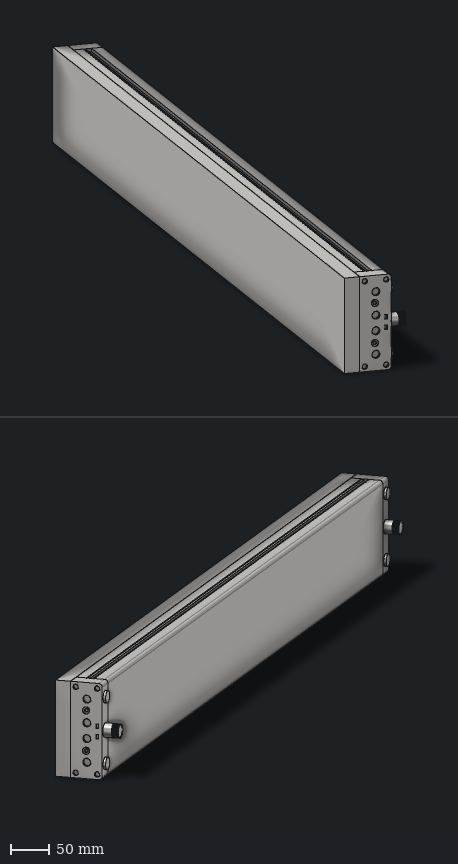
import cadquery as cq

length = 1180.0
height = 130.0
panel_depth = 21.0
back_y = 65.0
total_depth = 86.0
cap_length = 24.0
rear_fillet = 5.0

groove_back_y = back_y - 19.0
groove_width = 11.0
groove_depth = 5.0
ledge_width = 4.0
ledge_drop = 1.0

connector_diameter = 19.0
connector_neck = 12.0
thread_pitch = 2.0
thread_groove_width = 1.0
thread_depth = 1.0
thread_grooves = 4

head_diameter = 17.0
head_height = 4.0
head_z = 45.0

face_depth = 4.0
corner_hole_diameter = 7.0
corner_hole_inset = 7.0
socket_diameter = 11.0
socket_y = back_y - 21.0
socket_inner_z = 11.0
socket_outer_z = 42.0
screw_hole_diameter = 5.0
recess_diameter = 10.0
recess_depth = 1.0
screw_hole_y = socket_y - 1.0
screw_hole_z = 27.0
window_width = 4.0
window_height = 6.0
window_y = back_y - 7.0
window_z = 7.0


def box(x_min, x_max, y_min, y_max, z_min, z_max):
    """Box between the given limits."""
    size = (x_max - x_min, y_max - y_min, z_max - z_min)
    return cq.Workplane("XY").box(*size, centered=False).translate((x_min, y_min, z_min))


def bar(x_min, x_max):
    """Length of the bar behind the panel, with rounded rear edges."""
    block = box(x_min, x_max, panel_depth, back_y, -height / 2, height / 2)
    return block.edges(">Y and |X").fillet(rear_fillet)


def rear_cylinder(x, y, z, diameter, cylinder_length):
    """Cylinder that starts at y and runs toward +Y."""
    solid = cq.Solid.makeCylinder(diameter / 2, cylinder_length, cq.Vector(x, y, z), cq.Vector(0, 1, 0))
    return cq.Workplane(obj=solid)


def make_panel():
    return box(-length / 2, length / 2, 0, panel_depth, -height / 2, height / 2)


def make_profile():
    half_length = length / 2 - cap_length
    top = height / 2
    groove_front_y = groove_back_y - groove_width
    ledge_back_y = groove_front_y + ledge_width
    groove = box(-half_length, half_length, ledge_back_y, groove_back_y, top - groove_depth, top)
    ledge = box(-half_length, half_length, groove_front_y, ledge_back_y, top - ledge_drop, top)
    return bar(-half_length, half_length).cut(groove).cut(ledge)


def make_connector(x):
    """Round connector with ring grooves for its thread."""
    connector = rear_cylinder(x, back_y, 0, connector_diameter, total_depth - back_y)
    core_diameter = connector_diameter - 2 * thread_depth
    for i in range(thread_grooves):
        y = back_y + connector_neck + i * thread_pitch
        ring = rear_cylinder(x, y, 0, connector_diameter, thread_groove_width)
        core = rear_cylinder(x, y, 0, core_diameter, thread_groove_width)
        connector = connector.cut(ring.cut(core))
    return connector


def end_face_hole(y, z, diameter, depth=face_depth):
    """Blind hole in the left end face."""
    start = cq.Vector(-length / 2, y, z)
    return cq.Workplane(obj=cq.Solid.makeCylinder(diameter / 2, depth, start, cq.Vector(1, 0, 0)))


def make_left_cap():
    outer_x = -length / 2
    center_x = outer_x + cap_length / 2
    cap = bar(outer_x, outer_x + cap_length).union(make_connector(center_x))
    corner_z = height / 2 - corner_hole_inset
    for side in (-1, 1):
        cap = cap.union(rear_cylinder(center_x, back_y, side * head_z, head_diameter, head_height))
        for y in (panel_depth + corner_hole_inset, back_y - corner_hole_inset):
            cap = cap.cut(end_face_hole(y, side * corner_z, corner_hole_diameter))
        for z in (socket_inner_z, socket_outer_z):
            cap = cap.cut(end_face_hole(socket_y, side * z, socket_diameter))
        cap = cap.cut(end_face_hole(screw_hole_y, side * screw_hole_z, recess_diameter, recess_depth))
        cap = cap.cut(end_face_hole(screw_hole_y, side * screw_hole_z, screw_hole_diameter))
        window = cq.Workplane("XY").box(2 * face_depth, window_width, window_height)
        cap = cap.cut(window.translate((outer_x, window_y, side * window_z)))
    return cap


panel = make_panel()
profile = make_profile()

end_caps = []
for mirrored in (False, True):
    cap = make_left_cap()
    end_caps.append(cap.mirror("YZ") if mirrored else cap)

result = cq.Compound.makeCompound([panel.val(), profile.val(), *[cap.val() for cap in end_caps]])